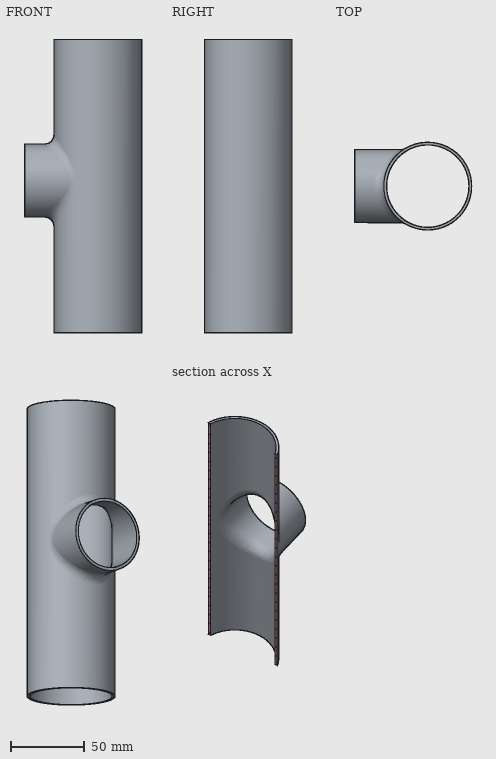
import cadquery as cq

pipe_length = 200
pipe_outer_diameter = 60
pipe_inner_diameter = 56

branch_outer_diameter = 50
branch_inner_diameter = 46
branch_reach = 49.8
branch_offset = 3.8
branch_height = pipe_length / 2 + branch_offset

wall = (pipe_outer_diameter - pipe_inner_diameter) / 2
outer_fillet = 6
inner_fillet = outer_fillet + wall


def pipe_cylinder(diameter):
    """Cylinder along the full length of the main pipe."""
    return cq.Workplane("XY").circle(diameter / 2).extrude(pipe_length)


def branch_cylinder(diameter):
    """Cylinder from the main pipe axis to the branch's open end."""
    return (
        cq.Workplane("YZ")
        .center(0, branch_height)
        .circle(diameter / 2)
        .extrude(-branch_reach)
    )


def blended_tee(pipe_diameter, branch_diameter, fillet_radius):
    """Solid tee with a fillet around its saddle-shaped junction."""
    tee = pipe_cylinder(pipe_diameter).union(branch_cylinder(branch_diameter))
    junction_box = cq.selectors.BoxSelector(
        (-pipe_diameter / 2, -branch_diameter, branch_height - branch_diameter),
        (0, branch_diameter, branch_height + branch_diameter),
    )
    return tee.edges(junction_box).fillet(fillet_radius)


outer_tee = blended_tee(pipe_outer_diameter, branch_outer_diameter, outer_fillet)
inner_tee = blended_tee(pipe_inner_diameter, branch_inner_diameter, inner_fillet)
result = outer_tee.cut(inner_tee)